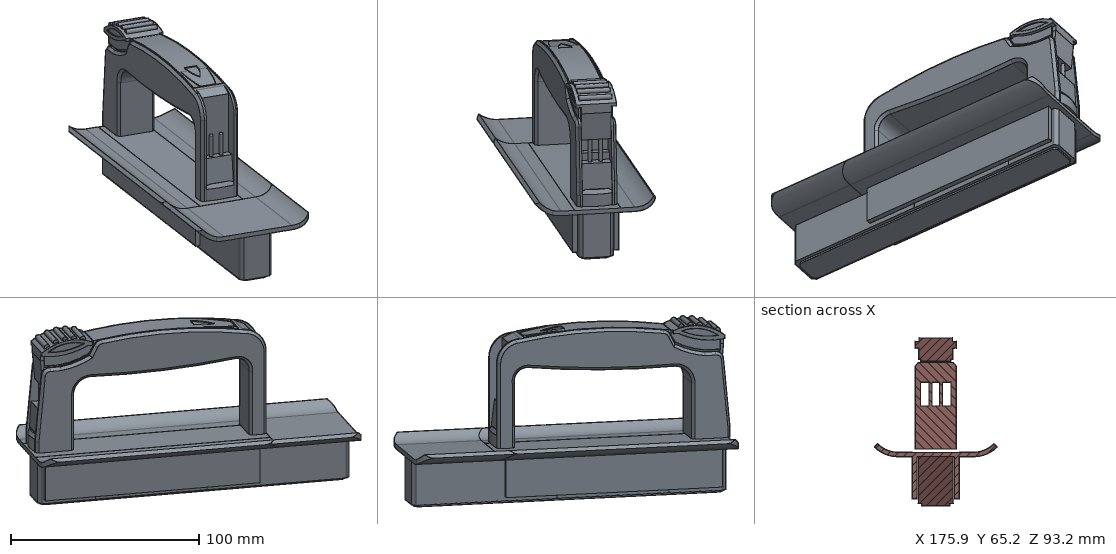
import cadquery as cq
import math

LENGTH = 175.9
WIDTH = 65.2
HEIGHT = 93.2

plate_bottom = 26.0
plate_thickness = 2.5
plate_top = plate_bottom + plate_thickness
wing_inner_radius = 15.5
wing_angle = math.radians(45)
guard_corner = 8.3
front_guard_length = 129.5
rear_guard_start = 124.5
seat_depth = 0.09
side_plate_half = 12.5
side_plate_thickness = 2.6
side_plate_bottom = 3.7
side_plate_front = 5.5
side_plate_rear = 123.8

case_front = 2.5
case_rear = 174.3
case_half = 9.3
case_bottom = 1.2
case_chamfer = 2.0
case_edge_round = 0.7
foot_inset = 1.8
flank_recess = 0.2
flank_front = 34.0
flank_rear = 95.3

handle_bottom = 30.0
handle_half = 10.9
handle_chamfer = 1.5
handle_rear = 128.0
crown_x = 73.0
crown_top = 92.3
crown_radius = 255.0
rear_shoulder_x = 117.8
shoulder_radius = 12.3
shoulder_mid_angle = math.radians(45)
toe_top = (0.7, 36.2)
shin_bottom = (1.4, 43.5)
shin_top = (4.2, 72.8)
notch_start = (8.8, 76.7)
notch_flat_end = (14.6, 76.7)
notch_mid = (22.7, 78.5)
notch_corner = (30.6, 81.8)
notch_rear_x = 34.5
notch_rear_round = 5.3

opening_front = 21.8
opening_rear = 118.5
opening_front_radius = 9.3
opening_rear_radius = 7.7
opening_front_top = 69.8
opening_mid = (66.8, 69.6)
opening_rear_top = 73.0

spine_half = 8.1
spine_foot_x = 2.0
spine_sill_x = 3.2
spine_brow_x = 5.3
front_clearance = 1.8
rear_clearance = 1.8
window_bottom = 53.1
window_step = 57.2
window_top = 65.6
window_front_depth = 6.2
window_full_depth = 10.5
rod_radius = 1.0
rod_spacing = 5.8
rear_rod_tip_round = 0.9
front_rod_x = 7.0
rear_rod_x = 122.8
upstand_top = 80.5
upstand_rear = 6.0
bulge_top = 39.0
bulge_bevel_height = 2.3
bulge_bevel_depth = 1.4
front_bulge_base_x = 1.5
front_bulge_depth = 1.5
rear_bulge_depth = 0.5
bulge_root = 1.8
rear_wall_x = 121.0
rear_ledge_x = 125.2
rear_slope_x = 115.2
rear_slope_end = (rear_wall_x, 86.2)

strip_half = 8.6
strip_rise = 0.26
strip_front = 32.9
strip_rear = 113.0
strip_depth = 5.3
dish_front = (94.3, 7.5)
dish_side = (102.7, 6.7)
dish_shoulder = (111.3, 5.0)
dish_rear = (112.5, 3.9)
dish_depth = 0.4
arrow_front = (89.9, 3.5)
arrow_side = (96.7, 2.5)
arrow_tip = (102.0, 0)
arrow_depth = 0.5

button_front = 3.9
cap_rear = 31.8
cap_peak_x = 21.1
cap_peak_top = 91.6
cap_front_top = 85.6
ledge_front = 83.9
ledge_mid = (19.3, 84.2)
ledge_end = (29.2, 87.8)
stem_half = 9.1
stem_rear = 33.5
stem_gap = 1.0
rib_count = 5
rib_first_x = 7.4
rib_pitch = 5.0
rib_half = 9.0
rib_radius = HEIGHT - cap_peak_top
lens_front = (7.4, 85.6)
lens_upper = (16.9, 89.7)
lens_lower = (18.6, 86.2)
lens_rear = (27.5, 89.0)
lens_depth = 0.7


def centred_box(x0, x1, half, z0, z1):
    """Box from x0 to x1 and z0 to z1, reaching `half` to both sides of the mid-plane."""
    return cq.Workplane("XY").box(x1 - x0, 2 * half, z1 - z0, centered=False).translate((x0, -half, z0))


def side_extrude(sketch, half):
    """Extrudes an XZ outline by `half` to both sides of the mid-plane."""
    return sketch.close().extrude(half, both=True)


def crown_z(x):
    """Height of the arched crown of the handle at x."""
    return crown_top - crown_radius + math.sqrt(crown_radius ** 2 - (x - crown_x) ** 2)


def wing_profile_plate(x0, x1):
    """Plate with both long edges curled up, running from x0 to x1."""
    outer_radius = wing_inner_radius + plate_thickness
    flat_half = WIDTH / 2 - outer_radius * math.sin(wing_angle)
    centre_z = plate_top + wing_inner_radius

    def on_arc(side, radius, angle):
        return side * (flat_half + radius * math.sin(angle)), centre_z - radius * math.cos(angle)

    half_angle = wing_angle / 2
    profile = (
        cq.Workplane("YZ", origin=(x0, 0, 0))
        .moveTo(-flat_half, plate_bottom)
        .lineTo(flat_half, plate_bottom)
        .threePointArc(on_arc(1, outer_radius, half_angle), on_arc(1, outer_radius, wing_angle))
        .lineTo(*on_arc(1, wing_inner_radius, wing_angle))
        .threePointArc(on_arc(1, wing_inner_radius, half_angle), (flat_half, plate_top))
        .lineTo(-flat_half, plate_top)
        .threePointArc(on_arc(-1, wing_inner_radius, half_angle), on_arc(-1, wing_inner_radius, wing_angle))
        .lineTo(*on_arc(-1, outer_radius, wing_angle))
        .threePointArc(on_arc(-1, outer_radius, half_angle), (-flat_half, plate_bottom))
        .close()
    )
    return profile.extrude(x1 - x0)


def guard_outline(x0, x1):
    """Tall block with the rounded plan outline of a guard."""
    return centred_box(x0, x1, WIDTH / 2, 0, HEIGHT).edges("|Z").fillet(guard_corner)


def make_front_guard():
    """Front plate with a shallow seat for the handle and two side plates hanging below."""
    guard = wing_profile_plate(0, front_guard_length).intersect(guard_outline(0, front_guard_length))
    guard = guard.cut(centred_box(0, front_guard_length, side_plate_half, plate_top - seat_depth, plate_top))
    skirt = centred_box(side_plate_front, side_plate_rear, side_plate_half, side_plate_bottom, plate_bottom)
    channel_half = side_plate_half - side_plate_thickness
    channel = centred_box(side_plate_front, side_plate_rear, channel_half, side_plate_bottom, plate_bottom)
    return guard.union(skirt.cut(channel))


def make_rear_guard():
    """Rear plate, cut to follow the rounded rear corners of the front plate."""
    plate = wing_profile_plate(rear_guard_start, LENGTH).intersect(guard_outline(0, LENGTH))
    return plate.cut(guard_outline(0, front_guard_length))


def make_case():
    """Blade case with a narrower foot and a shallow recess in each flank."""
    case = (
        centred_box(case_front, case_rear, case_half, case_bottom, plate_bottom)
        .edges("|Z").chamfer(case_chamfer)
        .edges("|Z").edges("<Y or >Y").fillet(case_edge_round)
    )
    foot = (
        centred_box(case_front + foot_inset, case_rear - foot_inset, case_half - foot_inset, 0, case_bottom)
        .edges("|Z").chamfer(case_chamfer)
    )
    flank_cut = centred_box(flank_front, flank_rear, case_half, case_bottom, plate_bottom)
    flank_keep = centred_box(flank_front, flank_rear, case_half - flank_recess, case_bottom, plate_bottom)
    return case.union(foot).cut(flank_cut.cut(flank_keep))


def handle_outline():
    """Solid handle without the hand opening, reaching below its feet."""
    crown_mid_x = (notch_rear_x + rear_shoulder_x) / 2
    shoulder_end_z = crown_z(rear_shoulder_x) - shoulder_radius
    shoulder_mid = (
        handle_rear - shoulder_radius * (1 - math.cos(shoulder_mid_angle)),
        shoulder_end_z + shoulder_radius * math.sin(shoulder_mid_angle),
    )
    outline = side_extrude(
        cq.Workplane("XZ")
        .moveTo(toe_top[0], 0)
        .lineTo(*toe_top)
        .lineTo(*shin_bottom)
        .lineTo(*shin_top)
        .tangentArcPoint(notch_start, relative=False)
        .lineTo(*notch_flat_end)
        .threePointArc(notch_mid, notch_corner)
        .lineTo(notch_rear_x, crown_z(notch_rear_x))
        .threePointArc((crown_mid_x, crown_z(crown_mid_x)), (rear_shoulder_x, crown_z(rear_shoulder_x)))
        .threePointArc(shoulder_mid, (handle_rear, shoulder_end_z))
        .lineTo(handle_rear, 0),
        handle_half,
    )
    notch_rear_edge = cq.selectors.NearestToPointSelector((notch_rear_x, 0, crown_z(notch_rear_x)))
    return outline.edges(notch_rear_edge).fillet(notch_rear_round)


def hand_opening():
    """Block that clears the space for the fingers."""
    return side_extrude(
        cq.Workplane("XZ")
        .moveTo(opening_front, 0)
        .lineTo(opening_front, opening_front_top - opening_front_radius)
        .tangentArcPoint((opening_front + opening_front_radius, opening_front_top), relative=False)
        .threePointArc(opening_mid, (opening_rear - opening_rear_radius, opening_rear_top))
        .tangentArcPoint((opening_rear, opening_rear_top - opening_rear_radius), relative=False)
        .lineTo(opening_rear, 0),
        handle_half,
    )


def spine_front_cut():
    """Space in front of the spine, between the front edges of the cheeks."""
    return side_extrude(
        cq.Workplane("XZ")
        .moveTo(-front_clearance, handle_bottom)
        .lineTo(spine_foot_x, handle_bottom)
        .lineTo(spine_sill_x, window_bottom)
        .lineTo(spine_brow_x, window_top)
        .lineTo(button_front, upstand_top)
        .lineTo(-front_clearance, upstand_top),
        spine_half,
    )


def spine_rear_cut():
    """Space behind the spine, open to the rear and to the top."""
    beyond = handle_rear + rear_clearance
    return side_extrude(
        cq.Workplane("XZ")
        .moveTo(rear_slope_x, HEIGHT)
        .lineTo(rear_slope_x, crown_z(rear_slope_x))
        .lineTo(*rear_slope_end)
        .lineTo(rear_wall_x, window_bottom)
        .lineTo(rear_ledge_x, window_bottom)
        .lineTo(handle_rear, handle_bottom)
        .lineTo(beyond, handle_bottom)
        .lineTo(beyond, HEIGHT),
        spine_half,
    )


def front_window():
    """Window in the front leg, deeper above the step in its back wall."""
    lower = centred_box(0, spine_sill_x + window_front_depth, spine_half, window_bottom, window_top)
    upper = centred_box(0, spine_sill_x + window_full_depth, spine_half, window_step, window_top)
    return lower.union(upper)


def rods(x):
    """Pair of upright rods standing on the floor of a window."""
    return (
        cq.Workplane("XY", origin=(x, 0, window_bottom))
        .rarray(1.8, rod_spacing, 1, 2)
        .circle(rod_radius)
        .extrude(window_top - window_bottom)
    )


def bulge(base_x, depth, direction):
    """Low pad at the foot of a leg, bowed outward by `depth` along `direction` and bevelled on top."""
    back_x = base_x - direction * bulge_root
    pad = (
        cq.Workplane("XY", origin=(0, 0, handle_bottom))
        .moveTo(back_x, -spine_half)
        .lineTo(base_x, -spine_half)
        .threePointArc((base_x + direction * depth, 0), (base_x, spine_half))
        .lineTo(back_x, spine_half)
        .close()
        .extrude(bulge_top - handle_bottom)
    )
    outer_edge = cq.selectors.NearestToPointSelector((base_x + direction * depth, 0, bulge_top))
    return pad.edges(outer_edge).chamfer(bulge_bevel_height, bulge_bevel_depth)


def strip_z(x):
    """Height of the raised strip at x."""
    return crown_z(x) + strip_rise


def above_line(x0, z0, x1, z1):
    """Everything between x0 and x1 above the line joining the two points."""
    line = cq.Workplane("XZ").moveTo(x0, HEIGHT).lineTo(x0, z0).lineTo(x1, z1).lineTo(x1, HEIGHT)
    return side_extrude(line, strip_half)


def thumb_dish():
    """Shallow tongue-shaped dip that grows deeper toward the rear end of the strip."""
    front_x, front_half = dish_front
    rear_x, rear_half = dish_rear
    tongue = (
        cq.Workplane("XY")
        .moveTo(front_x, -front_half)
        .threePointArc((dish_side[0], -dish_side[1]), (dish_shoulder[0], -dish_shoulder[1]))
        .lineTo(rear_x, -rear_half)
        .lineTo(rear_x, rear_half)
        .lineTo(*dish_shoulder)
        .threePointArc(dish_side, dish_front)
        .close()
        .extrude(HEIGHT)
    )
    return tongue.intersect(above_line(front_x, strip_z(front_x), rear_x, strip_z(rear_x) - dish_depth))


def arrow_mark():
    """Sunk arrow pointing to the rear."""
    front_x, front_half = arrow_front
    tip_x = arrow_tip[0]
    arrow = (
        cq.Workplane("XY")
        .moveTo(front_x, -front_half)
        .threePointArc((arrow_side[0], -arrow_side[1]), arrow_tip)
        .threePointArc(arrow_side, arrow_front)
        .close()
        .extrude(HEIGHT)
    )
    return arrow.intersect(
        above_line(front_x, strip_z(front_x) - arrow_depth, tip_x, strip_z(tip_x) - arrow_depth)
    )


def crown_strip():
    """Slightly raised strip along the crown, from the button to the rear shoulder."""
    strip_mid = (strip_front + strip_rear) / 2
    return side_extrude(
        cq.Workplane("XZ")
        .moveTo(strip_front, strip_z(strip_front) - strip_depth)
        .lineTo(strip_front, strip_z(strip_front))
        .threePointArc((strip_mid, strip_z(strip_mid)), (strip_rear, strip_z(strip_rear)))
        .lineTo(strip_rear, strip_z(strip_rear) - strip_depth),
        strip_half,
    )


def make_handle():
    """Bevelled handle with its spine, windows, rods, foot pads and crown strip."""
    handle = handle_outline().cut(hand_opening())
    handle = handle.faces("<Y or >Y").chamfer(handle_chamfer)
    handle = handle.cut(centred_box(0, LENGTH, handle_half, 0, handle_bottom))
    handle = handle.union(centred_box(button_front, upstand_rear, spine_half, window_top, upstand_top))
    handle = handle.cut(spine_front_cut()).cut(front_window()).cut(spine_rear_cut())
    rear_rods = rods(rear_rod_x).faces(">Z").edges().fillet(rear_rod_tip_round)
    handle = handle.union(rods(front_rod_x)).union(rear_rods)
    handle = handle.union(bulge(front_bulge_base_x, front_bulge_depth, -1))
    handle = handle.union(bulge(handle_rear, rear_bulge_depth, 1))
    return handle.union(crown_strip()).cut(thumb_dish()).cut(arrow_mark())


def cap_z(x):
    """Height of the arched top of the button at x."""
    run = cap_peak_x - button_front
    rise = cap_peak_top - cap_front_top
    cap_radius = (run ** 2 + rise ** 2) / (2 * rise)
    return cap_peak_top - cap_radius + math.sqrt(cap_radius ** 2 - (x - cap_peak_x) ** 2)


def button_cap(rear, half):
    """Arched upper part of the button, from its front face to `rear`."""
    return side_extrude(
        cq.Workplane("XZ")
        .moveTo(button_front, ledge_front)
        .lineTo(button_front, cap_front_top)
        .threePointArc((cap_peak_x, cap_peak_top), (rear, cap_z(rear)))
        .lineTo(rear, ledge_end[1])
        .lineTo(*ledge_end)
        .threePointArc(ledge_mid, (button_front, ledge_front)),
        half,
    )


def cap_lens():
    """Pair of thin lens-shaped blocks that sink the shallow grips on both sides of the cap."""
    lens = side_extrude(
        cq.Workplane("XZ")
        .moveTo(*lens_front)
        .threePointArc(lens_upper, lens_rear)
        .threePointArc(lens_lower, lens_front),
        handle_half,
    )
    return lens.cut(centred_box(0, LENGTH, handle_half - lens_depth, 0, HEIGHT))


def button_stem(front, half, gap):
    """Part of the button below the cap; its underside runs `gap` above the notch of the handle."""
    top = ledge_end[1]
    return side_extrude(
        cq.Workplane("XZ")
        .moveTo(front, ledge_front)
        .lineTo(front, notch_start[1] + gap)
        .lineTo(notch_flat_end[0], notch_flat_end[1] + gap)
        .threePointArc((notch_mid[0], notch_mid[1] + gap), (notch_corner[0], notch_corner[1] + gap))
        .lineTo(stem_rear, top)
        .lineTo(*ledge_end)
        .threePointArc(ledge_mid, (front, ledge_front)),
        half,
    )


def cap_rib(x):
    """Round grip rib across the cap, half sunk into its arched top."""
    return cq.Workplane("XZ", origin=(x, 0, cap_z(x))).circle(rib_radius).extrude(rib_half, both=True)


def make_button(handle):
    """Button trimmed to sit in the notch of the handle."""
    button = button_cap(cap_rear, handle_half).cut(cap_lens())
    button = button.union(button_cap(strip_front, strip_half))
    button = button.union(button_stem(button_front, spine_half, 0))
    button = button.union(button_stem(upstand_rear, stem_half, stem_gap))
    for index in range(rib_count):
        button = button.union(cap_rib(rib_first_x + index * rib_pitch))
    upstand_space = centred_box(0, upstand_rear, stem_half, 0, upstand_top)
    return button.cut(upstand_space).cut(handle)


front_guard = make_front_guard()
rear_guard = make_rear_guard()
case = make_case()
handle = make_handle()
button = make_button(handle)

result = cq.Compound.makeCompound(
    [front_guard.val(), rear_guard.val(), case.val(), handle.val(), button.val()]
)